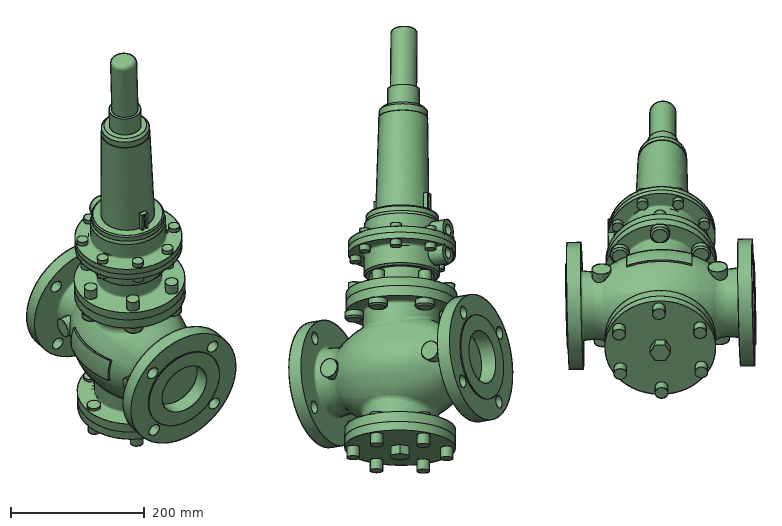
import cadquery as cq

ASSEMBLY_TURN = -12.7
ASSEMBLY_LEAN = 1.8

PIPE_FLANGE_RADIUS = 95.0
PIPE_FLANGE_FACE = 138.5
PIPE_FLANGE_THICKNESS = 21.0
RAISED_FACE_RADIUS = 64.0
RAISED_FACE_HEIGHT = 2.0
PORT_RADIUS = 40.0
PORT_DEPTH = 24.5
PIPE_BOLT_CIRCLE_RADIUS = 77.0
PIPE_BOLT_HOLE_RADIUS = 9.5
PIPE_BOLT_COUNT = 4
PIPE_BOLT_START_ANGLE = 45
PIPE_RADIUS_AT_FLANGE = 52.0
PIPE_RADIUS_AT_BULGE = 49.5
PIPE_FLANGE_FILLET = 3.5

BULGE_HALF_LENGTH = 90.0
BULGE_RADIUS = 81.5
BULGE_FILLET = 20.5
NAMEPLATE_LENGTH = 98.0
NAMEPLATE_BOTTOM = -8.0
NAMEPLATE_TOP = 27.0
NAMEPLATE_RELIEF = 3.0
PLUG_RADIUS = 14.0
PLUG_OFFSET = 87.0
PLUG_REACH = 64.5

NECK_RADIUS = 57.0
MAIN_FLANGE_RADIUS = 83.0
NECK_FOOT_FILLET = 7.0
NECK_FILLET = 3.5
BODY_FLANGE_START = 92.0
BODY_FLANGE_END = 107.5
COVER_FLANGE_END = 121.0
MAIN_BOLT_COUNT = 6
MAIN_BOLT_START_ANGLE = 30
MAIN_BOLT_CIRCLE_RADIUS = 70.0
MAIN_BOLT_HEAD_RADIUS = 9.5
MAIN_BOLT_HEAD_HEIGHT = 16.0
SPOT_BOSS_RADIUS = 14.0
SPOT_BOSS_HEIGHT = 11.5
SPOT_BOSS_CHAMFER = 3.0
STUD_END_RADIUS = 10.0
STUD_END_HEIGHT = 4.0
DRAIN_PLUG_WIDTH = 31.0
DRAIN_PLUG_HEIGHT = 14.0

CHAMBER_NECK_RADIUS = 48.0
CHAMBER_RADIUS = 56.5
CHAMBER_START = 149.5
CHAMBER_CHAMFER = 3.0
CHAMBER_FILLET = 3.5
DIAPHRAGM_PLANE = 192.0
DIAPHRAGM_FLANGE_RADIUS = 80.0
DIAPHRAGM_FLANGE_THICKNESS = 9.5
DIAPHRAGM_BOLT_COUNT = 8
DIAPHRAGM_BOLT_START_ANGLE = 22.5
DIAPHRAGM_BOLT_CIRCLE_RADIUS = 70.0
DIAPHRAGM_BOLT_RADIUS = 8.0
DIAPHRAGM_HEAD_HEIGHT = 7.0
DIAPHRAGM_NUT_HEIGHT = 9.0
SENSING_PORT_OFFSET = 18.5
SENSING_PORT_RADIUS = 15.5
SENSING_PORT_REACH = 79.5
SENSING_HOLE_RADIUS = 8.0
SENSING_HOLE_DEPTH = 10.0

HOUSING_SHOULDER = 235.0
HOUSING_SHOULDER_CHAMFER = 5.0
HOUSING_RIM_RADIUS = 54.5
SPRING_CONE_START = 244.5
SPRING_CONE_END = 395.0
SPRING_CONE_BASE_RADIUS = 40.0
SPRING_CONE_TOP_RADIUS = 37.0
SPRING_CONE_RIM_END = 399.5
HOUSING_RIM_CHAMFER = 2.0
LUG_REACH = 46.0
LUG_WIDTH = 11.0
LUG_HEIGHT = 28.5
LUG_SLOT_WIDTH = 4.0
LUG_SLOT_DEPTH = 3.5

CAP_RADIUS = 36.0
CAP_END = 414.0
CAP_CHAMFER = 4.0
COLLAR_RADIUS = 24.0
COLLAR_END = 444.5
SPINDLE_RADIUS = 20.0
SPINDLE_END = 539.5
SPINDLE_FILLET = 7.5

EDGE_TOLERANCE = 1.0


def post(radius, start, end):
    """Cylinder on the stem axis between two heights."""
    return cq.Workplane("XY").workplane(offset=start).circle(radius).extrude(end - start)


def bolt_ring(count, start_angle, circle_radius, radius, start, end):
    """Evenly spaced upright cylinders around the stem axis."""
    return (
        cq.Workplane("XY")
        .workplane(offset=start)
        .polarArray(circle_radius, start_angle, 360, count)
        .circle(radius)
        .extrude(end - start)
    )


def ring_edge(axis, distance, radius=PIPE_FLANGE_RADIUS):
    """Selector for the edges around the X or Z axis at a distance along it, out to a radius."""
    reach = radius + EDGE_TOLERANCE
    near = distance - EDGE_TOLERANCE
    far = distance + EDGE_TOLERANCE
    if axis == "X":
        corners = ((near, -reach, -reach), (far, reach, reach))
    else:
        corners = ((-reach, -reach, near), (reach, reach, far))
    return cq.selectors.BoxSelector(*corners, boundingbox=True)


def main_bolts(radius, start, end):
    return bolt_ring(
        MAIN_BOLT_COUNT, MAIN_BOLT_START_ANGLE, MAIN_BOLT_CIRCLE_RADIUS, radius, start, end
    )


def diaphragm_bolts(start, end):
    return bolt_ring(
        DIAPHRAGM_BOLT_COUNT,
        DIAPHRAGM_BOLT_START_ANGLE,
        DIAPHRAGM_BOLT_CIRCLE_RADIUS,
        DIAPHRAGM_BOLT_RADIUS,
        start,
        end,
    )


def pipe_run(relief=0.0):
    """Bulge and tapered pipe stubs revolved about the pipe axis; relief thickens the bulge."""
    flange_back = PIPE_FLANGE_FACE - PIPE_FLANGE_THICKNESS
    bulge_ends = ring_edge("X", BULGE_HALF_LENGTH) + ring_edge("X", -BULGE_HALF_LENGTH)
    return (
        cq.Workplane("XY")
        .moveTo(-flange_back, 0)
        .lineTo(-flange_back, PIPE_RADIUS_AT_FLANGE)
        .lineTo(-BULGE_HALF_LENGTH, PIPE_RADIUS_AT_BULGE + relief)
        .threePointArc((0, BULGE_RADIUS + relief), (BULGE_HALF_LENGTH, PIPE_RADIUS_AT_BULGE + relief))
        .lineTo(flange_back, PIPE_RADIUS_AT_FLANGE)
        .lineTo(flange_back, 0)
        .close()
        .revolve(360, (0, 0, 0), (1, 0, 0))
        .edges(bulge_ends)
        .fillet(BULGE_FILLET)
    )


def nameplate():
    """Thin raised pad that follows the front of the bulge."""
    window = cq.Workplane("XY").box(
        NAMEPLATE_LENGTH,
        2 * BULGE_RADIUS,
        NAMEPLATE_TOP - NAMEPLATE_BOTTOM,
        centered=(True, False, False),
    ).translate((0, -2 * BULGE_RADIUS, NAMEPLATE_BOTTOM))
    return pipe_run(NAMEPLATE_RELIEF).intersect(window)


def pipe_flange(side):
    """Solid pipe flange with its raised face on one end of the pipe; side is -1 or 1."""
    flange_back = PIPE_FLANGE_FACE - PIPE_FLANGE_THICKNESS
    plate = cq.Workplane("YZ").workplane(offset=side * flange_back)
    plate = plate.circle(PIPE_FLANGE_RADIUS).extrude(side * PIPE_FLANGE_THICKNESS)
    face = cq.Workplane("YZ").workplane(offset=side * PIPE_FLANGE_FACE)
    face = face.circle(RAISED_FACE_RADIUS).extrude(side * RAISED_FACE_HEIGHT)
    return plate.union(face)


def pipe_flange_cuts(side):
    """Blind port and through bolt holes of one pipe flange."""
    outer_face = cq.Workplane("YZ").workplane(offset=side * (PIPE_FLANGE_FACE + RAISED_FACE_HEIGHT))
    port = outer_face.circle(PORT_RADIUS).extrude(-side * PORT_DEPTH)
    holes = (
        outer_face.polarArray(PIPE_BOLT_CIRCLE_RADIUS, PIPE_BOLT_START_ANGLE, 360, PIPE_BOLT_COUNT)
        .circle(PIPE_BOLT_HOLE_RADIUS)
        .extrude(-side * (PIPE_FLANGE_THICKNESS + RAISED_FACE_HEIGHT))
    )
    return port.union(holes)


def body_plugs():
    """Four short round plugs across the pipe, one pair near each end of the bulge."""
    return (
        cq.Workplane("XZ")
        .workplane(offset=-PLUG_REACH)
        .pushPoints([(-PLUG_OFFSET, 0), (PLUG_OFFSET, 0)])
        .circle(PLUG_RADIUS)
        .extrude(2 * PLUG_REACH)
    )


def necked_pipe_run():
    """Pipe run with the two upright necks blended into the bulge."""
    run = pipe_run().union(post(NECK_RADIUS, -BODY_FLANGE_START, BODY_FLANGE_START))
    for side in (-1, 1):
        neck_foot = cq.selectors.BoxSelector(
            (-PIPE_FLANGE_RADIUS, -PIPE_FLANGE_RADIUS, side * PLUG_RADIUS),
            (PIPE_FLANGE_RADIUS, PIPE_FLANGE_RADIUS, side * BULGE_RADIUS),
            boundingbox=True,
        )
        run = run.edges(neck_foot).fillet(NECK_FOOT_FILLET)
    return run


def make_valve_body():
    flange_back = PIPE_FLANGE_FACE - PIPE_FLANGE_THICKNESS
    body = necked_pipe_run()
    for side in (-1, 1):
        flange = post(MAIN_FLANGE_RADIUS, side * BODY_FLANGE_START, side * BODY_FLANGE_END)
        body = body.union(flange).union(pipe_flange(side))
        body = body.edges(ring_edge("Z", side * BODY_FLANGE_START, NECK_RADIUS)).fillet(NECK_FILLET)
        body = body.edges(ring_edge("X", side * flange_back, PIPE_RADIUS_AT_FLANGE)).fillet(
            PIPE_FLANGE_FILLET
        )
    spot_bosses = main_bolts(SPOT_BOSS_RADIUS, BODY_FLANGE_START - SPOT_BOSS_HEIGHT, BODY_FLANGE_START)
    body = body.union(spot_bosses.faces("<Z").chamfer(SPOT_BOSS_CHAMFER))
    body = body.union(
        main_bolts(STUD_END_RADIUS, -BODY_FLANGE_START, STUD_END_HEIGHT - BODY_FLANGE_START)
    )
    body = body.union(body_plugs()).union(nameplate())
    for side in (-1, 1):
        body = body.cut(pipe_flange_cuts(side))
    return body


def make_bottom_cover():
    cover = post(MAIN_FLANGE_RADIUS, -COVER_FLANGE_END, -BODY_FLANGE_END)
    heads = main_bolts(
        MAIN_BOLT_HEAD_RADIUS, -COVER_FLANGE_END - MAIN_BOLT_HEAD_HEIGHT, -COVER_FLANGE_END
    )
    drain_plug = (
        cq.Workplane("XY")
        .workplane(offset=-COVER_FLANGE_END)
        .polygon(6, DRAIN_PLUG_WIDTH)
        .extrude(-DRAIN_PLUG_HEIGHT)
    )
    return cover.union(heads).union(drain_plug)


def sensing_port(height):
    """Round boss pointing along -X from a diaphragm chamber."""
    return (
        cq.Workplane("YZ", origin=(-SENSING_PORT_REACH, 0, height))
        .circle(SENSING_PORT_RADIUS)
        .extrude(SENSING_PORT_REACH)
    )


def sensing_hole(height):
    return (
        cq.Workplane("YZ", origin=(-SENSING_PORT_REACH, 0, height))
        .circle(SENSING_HOLE_RADIUS)
        .extrude(SENSING_HOLE_DEPTH)
    )


def make_lower_chamber():
    flange_start = DIAPHRAGM_PLANE - DIAPHRAGM_FLANGE_THICKNESS
    port_height = DIAPHRAGM_PLANE - SENSING_PORT_OFFSET
    bowl = post(CHAMBER_RADIUS, CHAMBER_START, DIAPHRAGM_PLANE).faces("<Z").chamfer(CHAMBER_CHAMFER)
    chamber = post(MAIN_FLANGE_RADIUS, BODY_FLANGE_END, COVER_FLANGE_END)
    chamber = chamber.union(post(CHAMBER_NECK_RADIUS, COVER_FLANGE_END, CHAMBER_START)).union(bowl)
    chamber = chamber.edges(ring_edge("Z", COVER_FLANGE_END, CHAMBER_NECK_RADIUS)).fillet(NECK_FILLET)
    chamber = chamber.union(
        main_bolts(MAIN_BOLT_HEAD_RADIUS, COVER_FLANGE_END, COVER_FLANGE_END + MAIN_BOLT_HEAD_HEIGHT)
    )
    chamber = chamber.union(post(DIAPHRAGM_FLANGE_RADIUS, flange_start, DIAPHRAGM_PLANE))
    chamber = chamber.edges(ring_edge("Z", flange_start, CHAMBER_RADIUS)).fillet(CHAMBER_FILLET)
    chamber = chamber.union(diaphragm_bolts(flange_start - DIAPHRAGM_NUT_HEIGHT, flange_start))
    return chamber.union(sensing_port(port_height)).cut(sensing_hole(port_height))


def housing_lugs():
    """Two slotted lugs at the foot of the spring cone, on opposite sides along X."""
    lugs = cq.Workplane("XY").workplane(offset=SPRING_CONE_START)
    lugs = lugs.rect(2 * LUG_REACH, LUG_WIDTH).extrude(LUG_HEIGHT)
    wall = (LUG_WIDTH - LUG_SLOT_WIDTH) / 2
    for side in (-1, 1):
        slot = cq.Workplane("XY").box(
            2 * LUG_SLOT_DEPTH, LUG_SLOT_WIDTH, LUG_HEIGHT - wall, centered=(True, True, False)
        )
        lugs = lugs.cut(slot.translate((side * LUG_REACH, 0, SPRING_CONE_START)))
    return lugs


def make_spring_housing():
    flange_end = DIAPHRAGM_PLANE + DIAPHRAGM_FLANGE_THICKNESS
    port_height = DIAPHRAGM_PLANE + SENSING_PORT_OFFSET
    rim = post(HOUSING_RIM_RADIUS, HOUSING_SHOULDER, SPRING_CONE_START)
    rim = rim.faces(">Z").chamfer(HOUSING_RIM_CHAMFER)
    cone = (
        cq.Workplane("XY")
        .workplane(offset=SPRING_CONE_START)
        .circle(SPRING_CONE_BASE_RADIUS)
        .workplane(offset=SPRING_CONE_END - SPRING_CONE_START)
        .circle(SPRING_CONE_TOP_RADIUS)
        .loft()
    )
    cone = cone.union(post(SPRING_CONE_TOP_RADIUS, SPRING_CONE_END, SPRING_CONE_RIM_END))
    housing = post(DIAPHRAGM_FLANGE_RADIUS, DIAPHRAGM_PLANE, flange_end)
    dome = post(CHAMBER_RADIUS, DIAPHRAGM_PLANE, HOUSING_SHOULDER)
    shoulder_edge = ring_edge("Z", HOUSING_SHOULDER, CHAMBER_RADIUS)
    dome = dome.edges(shoulder_edge).chamfer(
        HOUSING_SHOULDER_CHAMFER, CHAMBER_RADIUS - HOUSING_RIM_RADIUS
    )
    housing = housing.union(dome)
    housing = housing.edges(ring_edge("Z", flange_end, CHAMBER_RADIUS)).fillet(CHAMBER_FILLET)
    housing = housing.union(rim).union(housing_lugs()).union(cone)
    housing = housing.union(diaphragm_bolts(flange_end, flange_end + DIAPHRAGM_HEAD_HEIGHT))
    return housing.union(sensing_port(port_height)).cut(sensing_hole(port_height))


def make_adjuster_cap():
    cap = post(CAP_RADIUS, SPRING_CONE_RIM_END, CAP_END).faces(">Z").chamfer(CAP_CHAMFER)
    collar = post(COLLAR_RADIUS, CAP_END, COLLAR_END)
    spindle = post(SPINDLE_RADIUS, COLLAR_END, SPINDLE_END).faces(">Z").edges().fillet(SPINDLE_FILLET)
    return cap.union(collar).union(spindle)


def place(body):
    """Turn an upright body about Z, then lean it about X."""
    origin = (0, 0, 0)
    return body.rotate(origin, (0, 0, 1), ASSEMBLY_TURN).rotate(origin, (1, 0, 0), ASSEMBLY_LEAN)


valve_body = place(make_valve_body())
bottom_cover = place(make_bottom_cover())
lower_chamber = place(make_lower_chamber())
spring_housing = place(make_spring_housing())
adjuster_cap = place(make_adjuster_cap())

result = cq.Compound.makeCompound(
    [
        valve_body.val(),
        bottom_cover.val(),
        lower_chamber.val(),
        spring_housing.val(),
        adjuster_cap.val(),
    ]
)